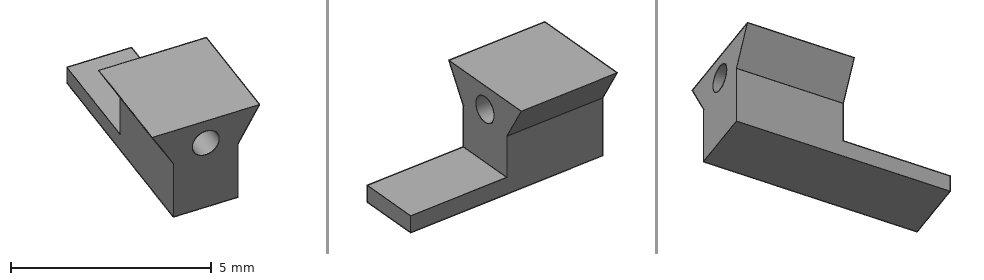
import cadquery as cq
import math

total_length = 6.0
block_length = 3.0
total_height = 2.74
stem_width = 1.8
head_width = 3.0
flank_angle = 60.0
tongue_thickness = 0.5
hole_diameter = 0.75
hole_depth_below_top = 0.695

overhang = (head_width - stem_width) / 2
flare_height = overhang * math.tan(math.radians(flank_angle))
flare_bottom = total_height - flare_height
block_start = total_length - block_length
hole_height = total_height - hole_depth_below_top


def make_tongue():
    """Flat bar running under the full length of the part."""
    return cq.Workplane("XY").box(
        total_length, stem_width, tongue_thickness, centered=(False, True, False)
    )


def make_block():
    """Straight stem flaring into a dovetail head, extruded along X."""
    return (
        cq.Workplane("YZ", origin=(block_start, 0, 0))
        .moveTo(-stem_width / 2, 0)
        .lineTo(stem_width / 2, 0)
        .lineTo(stem_width / 2, flare_bottom)
        .lineTo(head_width / 2, total_height)
        .lineTo(-head_width / 2, total_height)
        .lineTo(-stem_width / 2, flare_bottom)
        .close()
        .extrude(block_length)
    )


def make_hole():
    """Round bore passing lengthwise through the block."""
    return (
        cq.Workplane("YZ", origin=(block_start, 0, hole_height))
        .circle(hole_diameter / 2)
        .extrude(block_length)
    )


result = make_tongue().union(make_block()).cut(make_hole()).clean()